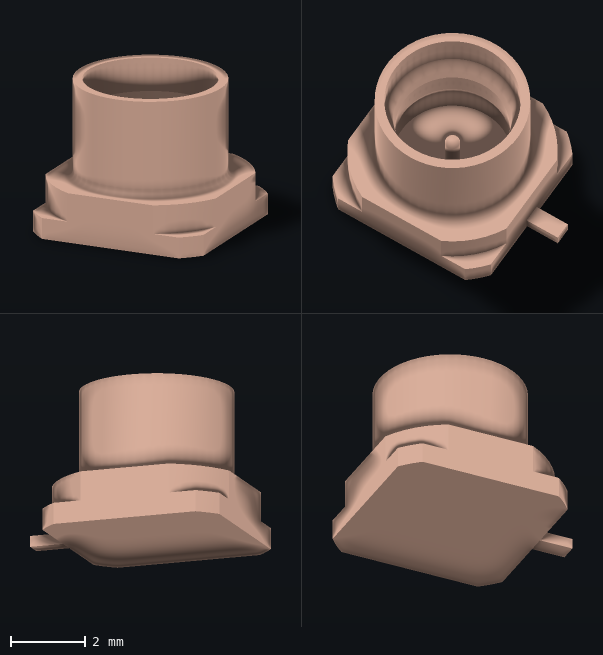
import cadquery as cq

base_width = 5.08
base_height = 1.4
corner_step_height = 0.59
lower_corner_radius = 3.26
upper_corner_radius = 2.84

overall_height = 4.1
tube_radius = 2.105
root_fillet = 0.195

mouth_radius = 1.84
throat_radius = 1.55
undercut_radius = 1.62
cone_top = 3.15
cone_bottom = 2.645
throat_bottom = 2.02
undercut_cone_bottom = 1.8
floor_height = 1.005

bead_radius = 0.4
pin_radius = 0.205
pin_tip_height = throat_bottom
tab_width = 0.5
tab_bottom = 0.04
tab_thickness = 0.305
tab_reach = 1.0
tab_top = tab_bottom + tab_thickness
tab_inner_end = -tab_width / 2
tab_outer_end = base_width / 2 + tab_reach


def rounded_square(height, corner_radius):
    """Square block whose corners are cut by a centred cylinder."""
    block = cq.Workplane().box(base_width, base_width, height, centered=(True, True, False))
    return block.intersect(cq.Workplane().circle(corner_radius).extrude(height))


def make_bore():
    """Space inside the tube: mouth, guiding cone, throat and undercut chamber."""
    return (
        cq.Workplane("XZ")
        .moveTo(0, floor_height)
        .lineTo(undercut_radius, floor_height)
        .lineTo(undercut_radius, undercut_cone_bottom)
        .lineTo(throat_radius, throat_bottom)
        .lineTo(throat_radius, cone_bottom)
        .lineTo(mouth_radius, cone_top)
        .lineTo(mouth_radius, overall_height)
        .lineTo(0, overall_height)
        .close()
        .revolve(360, (0, 0, 0), (0, 1, 0))
    )


def make_tube():
    """Solid tube blank with a concave fillet spreading onto the base."""
    fillet_radius_on_base = tube_radius + root_fillet
    fillet_top = base_height + root_fillet
    return (
        cq.Workplane("XZ")
        .lineTo(fillet_radius_on_base, 0)
        .lineTo(fillet_radius_on_base, base_height)
        .radiusArc((tube_radius, fillet_top), root_fillet)
        .lineTo(tube_radius, overall_height)
        .lineTo(0, overall_height)
        .close()
        .revolve(360, (0, 0, 0), (0, 1, 0))
    )


def make_tab():
    """Flat solder tab running from under the pin out past the +Y side."""
    length = tab_outer_end - tab_inner_end
    return (
        cq.Workplane()
        .box(tab_width, length, tab_thickness, centered=(True, False, False))
        .translate((0, tab_inner_end, tab_bottom))
    )


def make_pin():
    """Round-tipped centre pin standing on the tab."""
    shoulder_height = pin_tip_height - pin_radius
    shaft = cq.Workplane().workplane(offset=tab_top).circle(pin_radius).extrude(shoulder_height - tab_top)
    tip = cq.Workplane().sphere(pin_radius).translate((0, 0, shoulder_height))
    return shaft.union(tip)


def make_bead_plug():
    """Cylinder filling the hole in the floor, from the tab up to the floor."""
    return cq.Workplane().workplane(offset=tab_top).circle(bead_radius).extrude(floor_height - tab_top)


def make_housing():
    """Base and tube, bored out, with a hole for the bead and a slot for the tab."""
    base = rounded_square(corner_step_height, lower_corner_radius).union(
        rounded_square(base_height, upper_corner_radius)
    )
    return base.union(make_tube()).cut(make_bore()).cut(make_bead_plug()).cut(make_tab())


housing = make_housing()
pin = make_pin()
bead = make_bead_plug().cut(pin)
tab = make_tab()

result = cq.Compound.makeCompound([housing.val(), bead.val(), pin.val(), tab.val()])